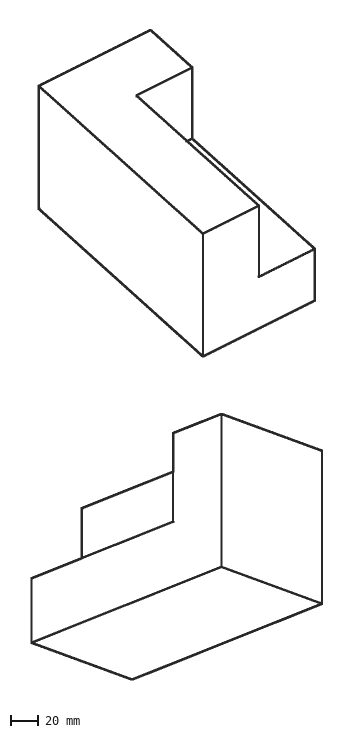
import cadquery as cq

length = 200.0
width = 101.6
height = 120.6

thickness = width / 2

block = cq.Workplane("XY").box(length, width, height, centered=False)

corner_pocket = (
    cq.Workplane("XY")
    .box(length - thickness, width - thickness, height - thickness, centered=False)
    .translate((thickness, thickness, thickness))
)

result = block.cut(corner_pocket)